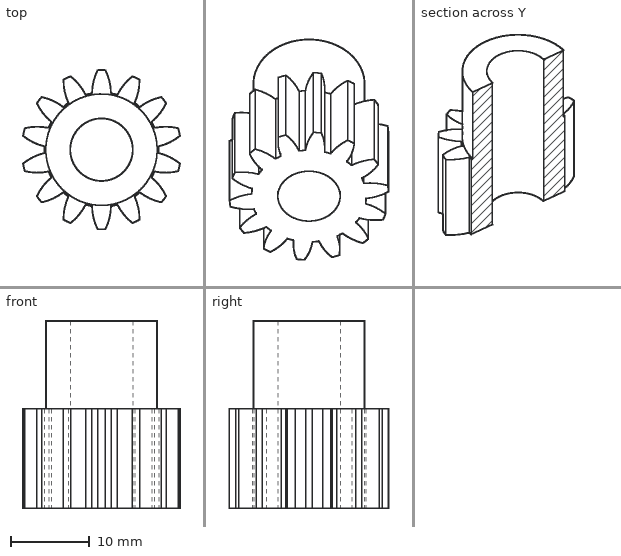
import cadquery as cq
import math

TOOTH_COUNT = 14
MODULE = 1.27
DEDENDUM_FACTOR = 1.25

TIP_HALF_THICKNESS = 0.505
ROOT_HALF_THICKNESS = 1.22

GEAR_WIDTH = 12.7
HUB_LENGTH = 11.18
HUB_DIAMETER = 14.2
BORE_DIAMETER = 7.94

pitch_radius = MODULE * TOOTH_COUNT / 2
tip_radius = pitch_radius + MODULE
root_radius = pitch_radius - DEDENDUM_FACTOR * MODULE
pitch_half_thickness = MODULE * math.pi / 4

foot_radius = (root_radius + BORE_DIAMETER / 2) / 2


def tooth_point(radius, half_thickness):
    """Point on the given circle, offset sideways from a tooth centred on +Y."""
    return (half_thickness, math.sqrt(radius**2 - half_thickness**2))


def make_tooth():
    """One tooth on +Y with a bulging arc for each flank and its foot inside the root cylinder."""
    return (
        cq.Workplane("XY")
        .moveTo(-ROOT_HALF_THICKNESS, foot_radius)
        .lineTo(*tooth_point(root_radius, -ROOT_HALF_THICKNESS))
        .threePointArc(
            tooth_point(pitch_radius, -pitch_half_thickness),
            tooth_point(tip_radius, -TIP_HALF_THICKNESS),
        )
        .threePointArc((0, tip_radius), tooth_point(tip_radius, TIP_HALF_THICKNESS))
        .threePointArc(
            tooth_point(pitch_radius, pitch_half_thickness),
            tooth_point(root_radius, ROOT_HALF_THICKNESS),
        )
        .lineTo(ROOT_HALF_THICKNESS, foot_radius)
        .close()
        .extrude(GEAR_WIDTH)
    )


def make_gear():
    """Root cylinder with a ring of teeth, the first one on +Y."""
    gear = cq.Workplane("XY").circle(root_radius).extrude(GEAR_WIDTH)
    tooth = make_tooth()
    for i in range(TOOTH_COUNT):
        gear = gear.union(tooth.rotate((0, 0, 0), (0, 0, 1), i * 360 / TOOTH_COUNT))
    return gear


def make_hub():
    """Plain cylindrical hub on top of the gear."""
    return cq.Workplane("XY").workplane(offset=GEAR_WIDTH).circle(HUB_DIAMETER / 2).extrude(HUB_LENGTH)


def make_bore():
    """Through bore along the gear axis."""
    return cq.Workplane("XY").circle(BORE_DIAMETER / 2).extrude(GEAR_WIDTH + HUB_LENGTH)


result = make_gear().union(make_hub()).cut(make_bore())